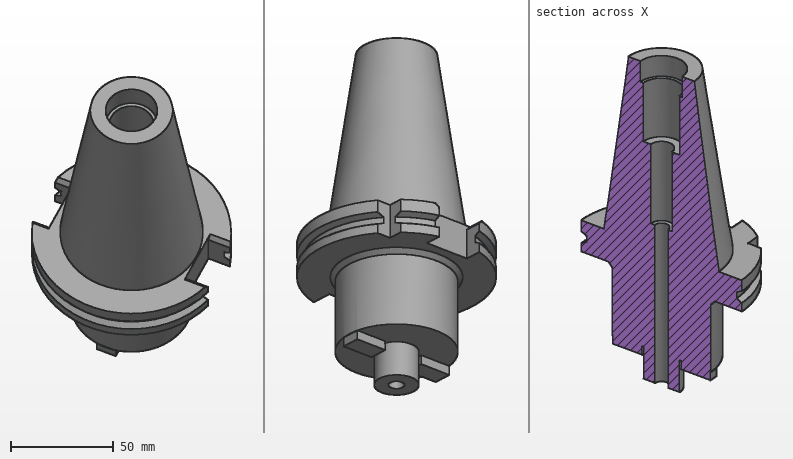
import cadquery as cq

total_height = 179.8
key_bottom_z = 13.3
body_bottom_z = 18.2
collar_bottom_z = 56.5
flange_bottom_z = 59.0
flange_top_z = 77.0
gauge_z = 78.4

spigot_radius = 11.0
body_radius = 30.0
collar_radius = 32.4
flange_radius = 48.7
gauge_radius = 34.9
taper_ratio = 7 / 24
taper_top_radius = gauge_radius - (total_height - gauge_z) * taper_ratio / 2

groove_radius = 45.7
groove_centre_z = 67.2
groove_floor_width = 3.2
groove_mouth_width = 6.7

slot_width = 25.7
slot_chamfer = 2.2
left_slot_floor = 37.7
right_slot_floor = 35.5

notch_x = 30.2
notch_y = 30.2

key_width = 10.2
key_inner_y = 11.7
key_outer_y = 29.7

mouth_radius = 12.5
mouth_depth = 11.7
thread_radius = 10.8
thread_depth = 45.0
step_radius = 6.3
step_depth = 89.9
through_radius = 4.0


def revolved_body():
    """Taper, flange, body and spigot turned about the Z axis."""
    profile = [
        (0, 0),
        (spigot_radius, 0),
        (spigot_radius, body_bottom_z),
        (body_radius, body_bottom_z),
        (body_radius, collar_bottom_z),
        (collar_radius, flange_bottom_z),
        (flange_radius, flange_bottom_z),
        (flange_radius, groove_centre_z - groove_mouth_width / 2),
        (groove_radius, groove_centre_z - groove_floor_width / 2),
        (groove_radius, groove_centre_z + groove_floor_width / 2),
        (flange_radius, groove_centre_z + groove_mouth_width / 2),
        (flange_radius, flange_top_z),
        (gauge_radius, flange_top_z),
        (gauge_radius, gauge_z),
        (taper_top_radius, total_height),
        (0, total_height),
    ]
    return cq.Workplane("XZ").polyline(profile).close().revolve(360, (0, 0, 0), (0, 1, 0))


def drive_slot(side, floor):
    """Cutter for a full-height slot, widened by chamfers at the flange top."""
    half_width = slot_width / 2
    chamfered_half_width = half_width + slot_chamfer
    section = [
        (-half_width, flange_bottom_z),
        (half_width, flange_bottom_z),
        (half_width, flange_top_z - slot_chamfer),
        (chamfered_half_width, flange_top_z),
        (-chamfered_half_width, flange_top_z),
        (-half_width, flange_top_z - slot_chamfer),
    ]
    return (
        cq.Workplane("YZ", origin=(side * floor, 0, 0))
        .polyline(section)
        .close()
        .extrude(side * (flange_radius - floor))
    )


def corner_notch():
    """Cutter for the square-cornered notch at -X, +Y."""
    return cq.Workplane("XY").box(
        flange_radius - notch_x,
        flange_radius - notch_y,
        flange_top_z - flange_bottom_z,
        centered=False,
    ).translate((-flange_radius, notch_y, flange_bottom_z))


def keys():
    """Two opposed rectangular keys, one each side of the spigot."""
    return (
        cq.Workplane("XY", origin=(0, 0, key_bottom_z))
        .pushPoints([(0, side * (key_inner_y + key_outer_y) / 2) for side in (-1, 1)])
        .rect(key_width, key_outer_y - key_inner_y)
        .extrude(body_bottom_z - key_bottom_z)
    )


def bore(part):
    """Cut the coaxial bore steps down from the small end of the taper."""
    steps = [
        (mouth_radius, mouth_depth),
        (thread_radius, thread_depth),
        (step_radius, step_depth),
        (through_radius, total_height),
    ]
    for radius, depth in steps:
        drill = cq.Workplane("XY", origin=(0, 0, total_height)).circle(radius).extrude(-depth)
        part = part.cut(drill)
    return part


result = revolved_body()
result = result.cut(drive_slot(-1, left_slot_floor))
result = result.cut(drive_slot(1, right_slot_floor))
result = result.cut(corner_notch())
result = result.union(keys())
result = bore(result)